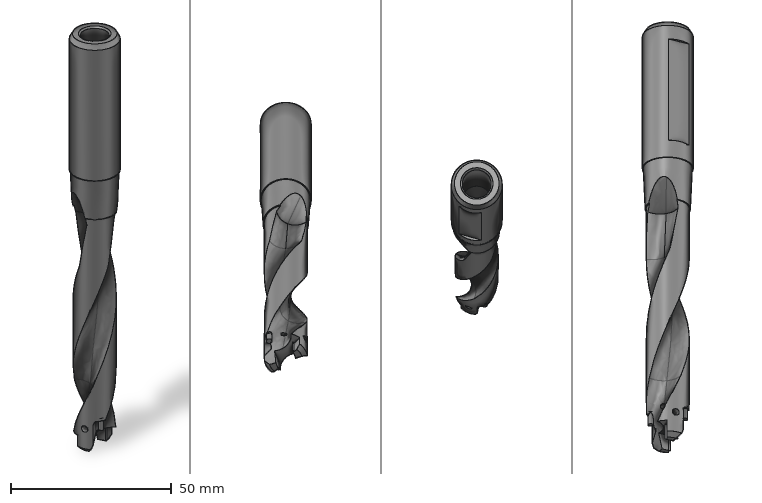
import cadquery as cq
import math

LENGTH = 144.6
SHANK_RADIUS = 8.0
SHANK_BOTTOM = 96.8
TOP_CHAMFER_RADIAL = 1.0
TOP_CHAMFER_HEIGHT = 1.7
NECK_TOP_RADIUS = 7.7
NECK_BOTTOM_RADIUS = 7.1
NECK_BOTTOM = 82.7
BODY_DIAMETER = 13.5
BODY_RADIUS = BODY_DIAMETER / 2
TIP_CHAMFER = 1.5

FLAT_Y = 7.1
FLAT_BOTTOM = 102.7
FLAT_TOP = 138.1

BORE_RADIUS = 4.5
BORE_DEPTH = 21.7
BORE_CHAMFER = 0.6
BORE_POINT_ANGLE = 118.0
COOLANT_RADIUS = 0.9
CROSS_HOLE_Z = 13.2
LAND_HOLE_RADIUS = 1.08
LAND_HOLE_X = -0.7
LAND_HOLE_Z = 8.4
LAND_HOLE_DEPTH = 2.9

FLUTE_RADIUS = 5.8
WEB_HALF = 1.6
FLUTE_TOP = 80.3
UPPER_CHANGE = 65.1
LOWER_CHANGE = 21.7
FLUTE_BOTTOM = -1.5
UPPER_TWIST = 1.59
MIDDLE_TWIST = 3.388
LOWER_TWIST = 4.011
ANGLE_AT_LOWER_CHANGE = 51.0
RUNOUT_HEIGHT = 13.0
RUNOUT_SLOPE = 0.6
RUNOUT_TURN = 20.0

SEAT_DEPTH = 5.2
SLOT_HALF = 3.2
PRONG_HALF = 3.5
PRONG_SIDE_ANGLE = 30.0
PRONG_CHAMFER = 0.9

POCKET_X = 2.0
POCKET_FLOOR = 4.0
POCKET_TOP = 11.4
POCKET_CORNER = 1.5
SCREW_RADIUS = 0.9
SCREW_X = 3.8
SCREW_Y = -4.2
SCREW_BOTTOM = 8.0
SCREW_SEAT_DEPTH = 0.9

BOTH_SIDES = (0.0, 180.0)
REACH = 2 * SHANK_RADIUS
BELOW = -1.5


def block(x_range, y_range, z_range):
    size = [high - low for low, high in (x_range, y_range, z_range)]
    corner = (x_range[0], y_range[0], z_range[0])
    return cq.Workplane("XY").box(*size, centered=False).translate(corner)


def turned(shape, angle):
    """The shape turned about the drill axis."""
    return shape.rotate((0, 0, 0), (0, 0, 1), angle)


def revolved(outline):
    """A solid of revolution from (radius, height) points."""
    return cq.Workplane("XZ").polyline(outline).close().revolve(360, (0, 0, 0), (0, 1, 0))


def blank():
    return revolved([
        (0, 0),
        (BODY_RADIUS - TIP_CHAMFER, 0),
        (BODY_RADIUS, TIP_CHAMFER),
        (BODY_RADIUS, NECK_BOTTOM),
        (NECK_BOTTOM_RADIUS, NECK_BOTTOM),
        (NECK_TOP_RADIUS, SHANK_BOTTOM),
        (SHANK_RADIUS, SHANK_BOTTOM),
        (SHANK_RADIUS, LENGTH - TOP_CHAMFER_HEIGHT),
        (SHANK_RADIUS - TOP_CHAMFER_RADIAL, LENGTH),
        (0, LENGTH),
    ])


def clamping_flat():
    return block((-REACH, REACH), (FLAT_Y, REACH), (FLAT_BOTTOM, FLAT_TOP))


def flute_profile(z):
    """Groove circle on the +X side, split at its deepest point."""
    centre = WEB_HALF + FLUTE_RADIUS
    far = centre + FLUTE_RADIUS
    return (
        cq.Workplane("XY", origin=(0, 0, z))
        .moveTo(WEB_HALF, 0)
        .threePointArc((centre, FLUTE_RADIUS), (far, 0))
        .threePointArc((centre, -FLUTE_RADIUS), (WEB_HALF, 0))
        .close()
    )


def flute_stretch(bottom, top, twist, bottom_angle):
    height = top - bottom
    groove = flute_profile(bottom).twistExtrude(height, twist * height)
    return turned(groove, bottom_angle)


def flute_runout(angle):
    """The groove profile leaving the body upwards and outwards."""
    outward = RUNOUT_SLOPE * RUNOUT_HEIGHT
    turn = math.radians(RUNOUT_TURN)
    path = cq.Vector(outward * math.cos(turn), outward * math.sin(turn), RUNOUT_HEIGHT)
    groove = cq.Solid.extrudeLinear(flute_profile(FLUTE_TOP).wire().val(), [], path)
    return turned(cq.Workplane(groove), angle)


def flute_cuts():
    """The stretches of one flute, from the runout down to the tip."""
    lower_start = ANGLE_AT_LOWER_CHANGE - LOWER_TWIST * (LOWER_CHANGE - FLUTE_BOTTOM)
    upper_start = ANGLE_AT_LOWER_CHANGE + MIDDLE_TWIST * (UPPER_CHANGE - LOWER_CHANGE)
    top_angle = upper_start + UPPER_TWIST * (FLUTE_TOP - UPPER_CHANGE)
    return [
        flute_stretch(UPPER_CHANGE, FLUTE_TOP, UPPER_TWIST, upper_start),
        flute_stretch(LOWER_CHANGE, UPPER_CHANGE, MIDDLE_TWIST, ANGLE_AT_LOWER_CHANGE),
        flute_stretch(FLUTE_BOTTOM, LOWER_CHANGE, LOWER_TWIST, lower_start),
        flute_runout(top_angle),
    ]


def shank_bore():
    point_height = BORE_RADIUS / math.tan(math.radians(BORE_POINT_ANGLE / 2))
    floor = LENGTH - BORE_DEPTH
    return revolved([
        (0, floor - point_height),
        (BORE_RADIUS, floor),
        (BORE_RADIUS, LENGTH - BORE_CHAMFER),
        (BORE_RADIUS + BORE_CHAMFER, LENGTH),
        (0, LENGTH),
    ])


def coolant_channel():
    """Hole along the axis from the shank bore down to the cross hole."""
    height = LENGTH - BORE_DEPTH - CROSS_HOLE_Z
    return cq.Workplane("XY", origin=(0, 0, CROSS_HOLE_Z)).circle(COOLANT_RADIUS).extrude(height)


def cross_hole():
    """Hole along X through the web, opening into both flutes."""
    plane = cq.Workplane("YZ", origin=(0, 0, CROSS_HOLE_Z))
    return plane.circle(COOLANT_RADIUS).extrude(BODY_RADIUS, both=True)


def land_hole():
    """Blind hole from the -Y land."""
    floor_y = LAND_HOLE_DEPTH - BODY_RADIUS
    plane = cq.Workplane("XZ", origin=(LAND_HOLE_X, floor_y, LAND_HOLE_Z))
    return plane.circle(LAND_HOLE_RADIUS).extrude(REACH)


def insert_slot():
    return block((-REACH, REACH), (-SLOT_HALF, SLOT_HALF), (BELOW, SEAT_DEPTH))


def prong_side_cut():
    """Trims the -X side of the -Y prong to a face that leans in towards the slot."""
    outer_y = -math.sqrt(BODY_RADIUS**2 - PRONG_HALF**2)
    side = block((-REACH, 0), (-REACH, -outer_y - SLOT_HALF), (BELOW, SEAT_DEPTH))
    leaning = side.rotate((0, 0, 0), (0, 0, 1), -PRONG_SIDE_ANGLE)
    kept_half = block((-REACH, REACH), (-REACH, 0), (BELOW, SEAT_DEPTH))
    return leaning.translate((-PRONG_HALF, outer_y, 0)).intersect(kept_half)


def prong_end_chamfer():
    """Bevel along the lower -X edge of the -Y prong."""
    corner = [
        (-PRONG_HALF, 0),
        (-PRONG_HALF, PRONG_CHAMFER),
        (PRONG_CHAMFER - PRONG_HALF, 0),
    ]
    return cq.Workplane("XZ").polyline(corner).close().extrude(REACH)


def screw_pocket():
    pocket = block((POCKET_X, REACH), (-REACH, -POCKET_FLOOR), (BELOW, POCKET_TOP))
    return pocket.edges("|Y and <X and >Z").fillet(POCKET_CORNER)


def clamp_screw():
    """Plain pin that hangs into the pocket from a seat in its ceiling."""
    height = POCKET_TOP + SCREW_SEAT_DEPTH - SCREW_BOTTOM
    plane = cq.Workplane("XY", origin=(SCREW_X, SCREW_Y, SCREW_BOTTOM))
    return plane.circle(SCREW_RADIUS).extrude(height)


def drill_body():
    body = blank().cut(clamping_flat()).cut(shank_bore())
    paired_cuts = [
        *flute_cuts(),
        prong_side_cut(),
        prong_end_chamfer(),
        screw_pocket(),
        clamp_screw(),
        land_hole(),
    ]
    for cut in paired_cuts:
        for angle in BOTH_SIDES:
            body = body.cut(turned(cut, angle))
    body = body.cut(insert_slot()).cut(coolant_channel()).cut(cross_hole())
    return body.solids()


drill = drill_body()
clamp_screws = [turned(clamp_screw(), angle) for angle in BOTH_SIDES]
result = cq.Compound.makeCompound([drill.val(), *[screw.val() for screw in clamp_screws]])